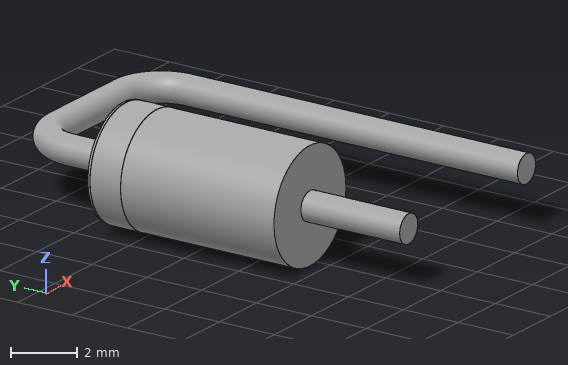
import cadquery as cq

total_length = 14.29
body_diameter = 3.89
band_diameter = 3.9
body_start = 3.6
body_end = 10.39
band_width = 1.11
band_end_gap = 0.09
lead_diameter = 0.99
lead_pitch = 6.35
bend_radius = 1.46

band_end = body_end - band_end_gap
band_start = band_end - band_width
lead_radius = lead_diameter / 2
crossbar_y = total_length - lead_radius
bend_start_y = crossbar_y - bend_radius
bend_offset = bend_radius * (1 - 0.5 ** 0.5)


def cylinder_along_y(diameter, start, end):
    """Solid cylinder on the Y axis between two Y positions."""
    return (
        cq.Workplane("XZ", origin=(0, start, 0))
        .circle(diameter / 2)
        .extrude(start - end)
    )


def make_lead():
    """Round wire through the body, over the crossbar and back to Y = 0."""
    path = (
        cq.Workplane("XY")
        .lineTo(0, bend_start_y)
        .threePointArc((bend_offset, crossbar_y - bend_offset), (bend_radius, crossbar_y))
        .lineTo(lead_pitch - bend_radius, crossbar_y)
        .threePointArc(
            (lead_pitch - bend_offset, crossbar_y - bend_offset),
            (lead_pitch, bend_start_y),
        )
        .lineTo(lead_pitch, 0)
    )
    return cq.Workplane("XZ").circle(lead_radius).sweep(path)


body = cylinder_along_y(body_diameter, body_start, body_end)
polarity_band = cylinder_along_y(band_diameter, band_start, band_end)

result = body.union(polarity_band).union(make_lead())